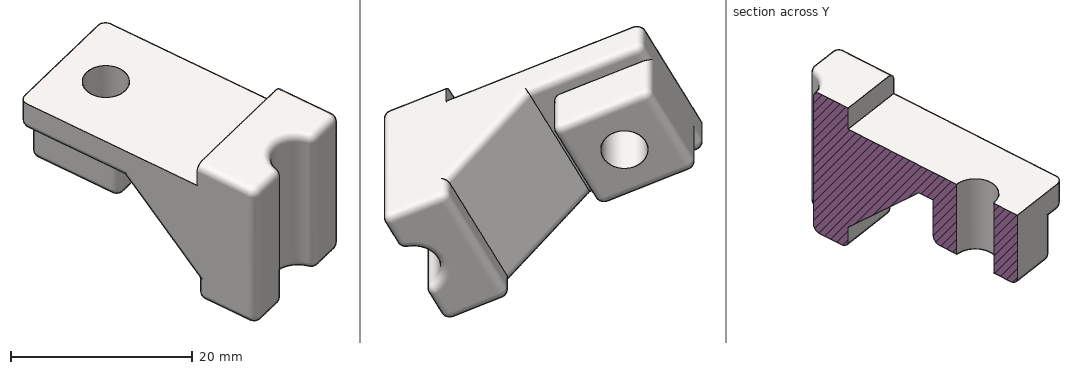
import cadquery as cq

LENGTH = 32.0
WIDTH = 16.0
HEIGHT = 20.0
EDGE_RADIUS = 1.0

LEG_THICKNESS = 8.0
LEG_X = LENGTH - LEG_THICKNESS

STEP_HEIGHT = 3.0
PLATE_THICKNESS = 4.0
PLATE_TOP_Z = HEIGHT - STEP_HEIGHT
PLATE_BOTTOM_Z = PLATE_TOP_Z - PLATE_THICKNESS

BRACE_FOOT_Z = 3.0
BRACE_START_X = LEG_X - (PLATE_BOTTOM_Z - BRACE_FOOT_Z)

BLOCK_LENGTH = 12.0
BLOCK_WIDTH = 12.0
BLOCK_DROP = 6.0

HOLE_DIAMETER = 5.2
GROOVE_RADIUS = 3.0

PICK_MARGIN = 0.5


def bracket_body():
    """Side profile of plate, brace and leg, extruded symmetrically across the width."""
    profile = [
        (0, PLATE_TOP_Z),
        (LEG_X, PLATE_TOP_Z),
        (LEG_X, HEIGHT),
        (LENGTH, HEIGHT),
        (LENGTH, 0),
        (LEG_X, 0),
        (LEG_X, BRACE_FOOT_Z),
        (BRACE_START_X, PLATE_BOTTOM_Z),
        (0, PLATE_BOTTOM_Z),
    ]
    return cq.Workplane("XZ").polyline(profile).close().extrude(WIDTH / 2, both=True)


def hanging_block():
    """Rectangular block whose end face is flush with the tip of the plate."""
    return (
        cq.Workplane("XY", origin=(BLOCK_LENGTH / 2, 0, PLATE_BOTTOM_Z))
        .rect(BLOCK_LENGTH, BLOCK_WIDTH)
        .extrude(-BLOCK_DROP)
    )


def leg_groove():
    """Half-round vertical groove centred on the outer face of the leg."""
    return cq.Workplane("XY", origin=(LENGTH, 0, 0)).circle(GROOVE_RADIUS).extrude(HEIGHT)


def mounting_hole():
    """Vertical hole through the plate and the middle of the block."""
    return (
        cq.Workplane("XY", origin=(BLOCK_LENGTH / 2, 0, PLATE_TOP_Z))
        .circle(HOLE_DIAMETER / 2)
        .extrude(-(PLATE_THICKNESS + BLOCK_DROP))
    )


def midpoint_box(x_range, half_width, z_range):
    """Selector for edges whose midpoints lie in a box centred on Y, grown by the pick margin."""
    low = (x_range[0] - PICK_MARGIN, -half_width - PICK_MARGIN, z_range[0] - PICK_MARGIN)
    high = (x_range[1] + PICK_MARGIN, half_width + PICK_MARGIN, z_range[1] + PICK_MARGIN)
    return cq.selectors.BoxSelector(low, high)


def round_edges(body):
    """Round every outer edge, leaving the plate top, the step and the inside corners sharp."""
    plate_top = midpoint_box((0, LEG_X), WIDTH / 2, (PLATE_TOP_Z, PLATE_TOP_Z))
    step_face = midpoint_box((LEG_X, LEG_X), WIDTH / 2, (PLATE_TOP_Z, HEIGHT))
    block_root = midpoint_box((0, BRACE_START_X), BLOCK_WIDTH / 2, (PLATE_BOTTOM_Z, PLATE_BOTTOM_Z))
    brace_foot = midpoint_box((LEG_X, LEG_X), 0, (BRACE_FOOT_Z, BRACE_FOOT_Z))
    sharp_edges = plate_top + step_face + block_root + brace_foot
    return body.edges(-sharp_edges).fillet(EDGE_RADIUS)


body = bracket_body().union(hanging_block()).cut(leg_groove())
result = round_edges(body).cut(mounting_hole())